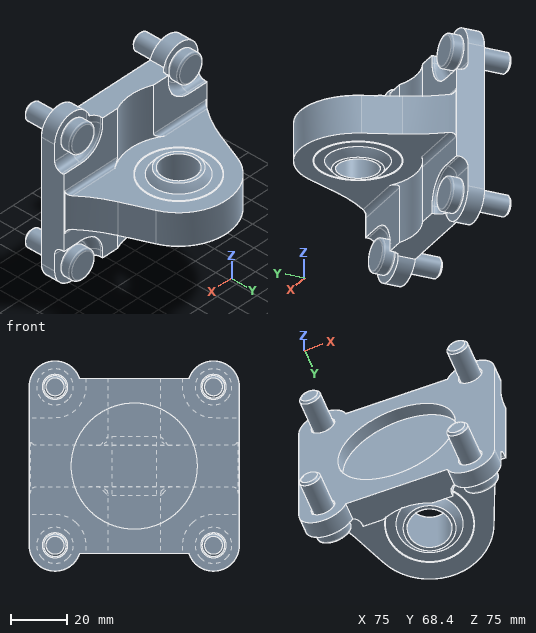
import cadquery as cq
import math


flange_width = 75.0
bolt_pitch = 56.5
waist_height = 62.5
flange_thickness = 11.0
lug_thickness = 6.5
clearance_hole_diameter = 9.0
spigot_diameter = 45.0
spigot_depth = 5.0
bolt_offset = bolt_pitch / 2
lug_radius = flange_width / 2 - bolt_offset

pocket_radius = 11.0
pocket_floor_fillet = 3.5
pocket_depth = flange_thickness - lug_thickness

eye_height = 32.0
eye_radius = 23.0
web_thickness = 15.0
web_foot_fillet = 2.0
flank_angle = math.radians(22.5)
flank_length = 14.55
flare_radius = 60.0

bearing_diameter = 32.0
bearing_groove_width = 0.2
bearing_groove_depth = 0.2
ball_radius = 14.1
ball_width = 21.0
bore_diameter = 16.0

shank_diameter = 8.0
shank_projection = 13.4
shank_end_chamfer = 0.8
head_diameter = 13.0
head_height = 5.0
head_rounding = 0.75

bolt_places = [(x, z) for x in (-bolt_offset, bolt_offset) for z in (-bolt_offset, bolt_offset)]


def cylinder_y(diameter, start, end):
    """Cylinder along Y on the origin, between two Y positions."""
    return cq.Workplane("XZ", origin=(0, start, 0)).circle(diameter / 2).extrude(start - end)


def plate(width, height, thickness):
    """Rectangular plate on the mounting face, centred in X and Z."""
    return cq.Workplane("XY").box(width, thickness, height, centered=(True, False, True))


def make_flange():
    flange = plate(flange_width, bolt_pitch, flange_thickness)
    flange = flange.union(plate(bolt_pitch, waist_height, flange_thickness))
    for x, z in bolt_places:
        flange = flange.union(cylinder_y(2 * lug_radius, 0, flange_thickness).translate((x, 0, z)))
    return flange


def make_head_pocket():
    """Pocket of the +X +Z corner: rounded around the bolt, open towards the outer sides."""
    inner_wall = bolt_offset - pocket_radius
    side = flange_width / 2 + pocket_floor_fillet - inner_wall
    return (
        cq.Workplane("XY", origin=(inner_wall, lug_thickness, inner_wall))
        .box(side, pocket_depth, side, centered=False)
        .edges("|Y and <X and <Z").fillet(pocket_radius)
        .faces("<Y").edges().fillet(pocket_floor_fillet)
    )


def cut_head_pockets(flange):
    pocket = make_head_pocket()
    pocket_pair = pocket.union(pocket.mirror("YZ"))
    return flange.cut(pocket_pair).cut(pocket_pair.mirror("XY"))


def make_web():
    """Web with filleted feet, trimmed to the eye outline."""
    sin_a = math.sin(flank_angle)
    cos_a = math.cos(flank_angle)
    tangent_x = eye_radius * cos_a
    tangent_y = eye_height + eye_radius * sin_a
    flare_x = tangent_x + flank_length * sin_a
    flare_y = tangent_y - flank_length * cos_a
    flare_centre_x = flare_x + flare_radius * cos_a
    flare_centre_y = flare_y + flare_radius * sin_a

    def flare_point(angle):
        x = flare_centre_x - flare_radius * math.cos(angle)
        y = flare_centre_y - flare_radius * math.sin(angle)
        return x, y

    foot_angle = math.asin((flare_centre_y - flange_thickness) / flare_radius)
    foot_x, foot_y = flare_point(foot_angle)
    middle_x, middle_y = flare_point((flank_angle + foot_angle) / 2)

    half_web = web_thickness / 2
    half_foot = half_web + web_foot_fillet
    outline = (
        cq.Workplane("XY", origin=(0, 0, -half_foot))
        .moveTo(-foot_x, foot_y)
        .threePointArc((-middle_x, middle_y), (-flare_x, flare_y))
        .lineTo(-tangent_x, tangent_y)
        .threePointArc((0, eye_height + eye_radius), (tangent_x, tangent_y))
        .lineTo(flare_x, flare_y)
        .threePointArc((middle_x, middle_y), (foot_x, foot_y))
        .close()
        .extrude(2 * half_foot)
    )

    fillet_top = flange_thickness + web_foot_fillet
    web_top = eye_height + eye_radius
    section = (
        cq.Workplane("YZ", origin=(-flange_width / 2, 0, 0))
        .moveTo(flange_thickness, -half_foot)
        .radiusArc((fillet_top, -half_web), web_foot_fillet)
        .lineTo(web_top, -half_web)
        .lineTo(web_top, half_web)
        .lineTo(fillet_top, half_web)
        .radiusArc((flange_thickness, half_foot), web_foot_fillet)
        .close()
        .extrude(flange_width)
    )
    return outline.intersect(section)


def eye_disc(radius, z_start, z_end):
    """Disc on the eye axis, between two Z positions."""
    return cq.Workplane("XY", origin=(0, eye_height, z_start)).circle(radius).extrude(z_end - z_start)


def cut_mating_clearance(bracket):
    """Round relief in the flange and web feet, above and below the web faces."""
    relief = eye_disc(eye_radius, web_thickness / 2, flange_width / 2)
    return bracket.cut(relief).cut(relief.mirror("XY"))


def cut_bearing_grooves(bracket):
    """Narrow ring groove around the bearing on both web faces."""
    bearing_radius = bearing_diameter / 2
    face = web_thickness / 2
    groove = eye_disc(bearing_radius, face - bearing_groove_depth, face)
    groove = groove.cut(eye_disc(bearing_radius - bearing_groove_width, 0, face))
    return bracket.cut(groove).cut(groove.mirror("XY"))


def make_ball():
    """Bearing ball with flat ends."""
    ball = cq.Workplane("XY", origin=(0, eye_height, 0)).sphere(ball_radius)
    return ball.intersect(eye_disc(ball_radius, -ball_width / 2, ball_width / 2))


def make_bracket():
    bracket = cut_head_pockets(make_flange()).union(make_web())
    bracket = cut_mating_clearance(bracket)
    bracket = bracket.cut(cylinder_y(spigot_diameter, 0, spigot_depth))
    for x, z in bolt_places:
        bracket = bracket.cut(cylinder_y(clearance_hole_diameter, 0, lug_thickness).translate((x, 0, z)))
    bracket = cut_bearing_grooves(bracket).union(make_ball())
    return bracket.cut(eye_disc(bore_diameter / 2, -ball_width / 2, ball_width / 2))


def make_bolt(x, z):
    """Bolt whose head rests on the pocket floor and whose shank points to -Y."""
    head = cylinder_y(head_diameter, lug_thickness, lug_thickness + head_height).edges().fillet(head_rounding)
    shank = cylinder_y(shank_diameter, -shank_projection, lug_thickness)
    shank = shank.faces("<Y").edges().chamfer(shank_end_chamfer)
    return head.union(shank).translate((x, 0, z))


bracket = make_bracket()
bolts = [make_bolt(x, z) for x, z in bolt_places]

result = cq.Compound.makeCompound([bracket.val(), *[bolt.val() for bolt in bolts]])